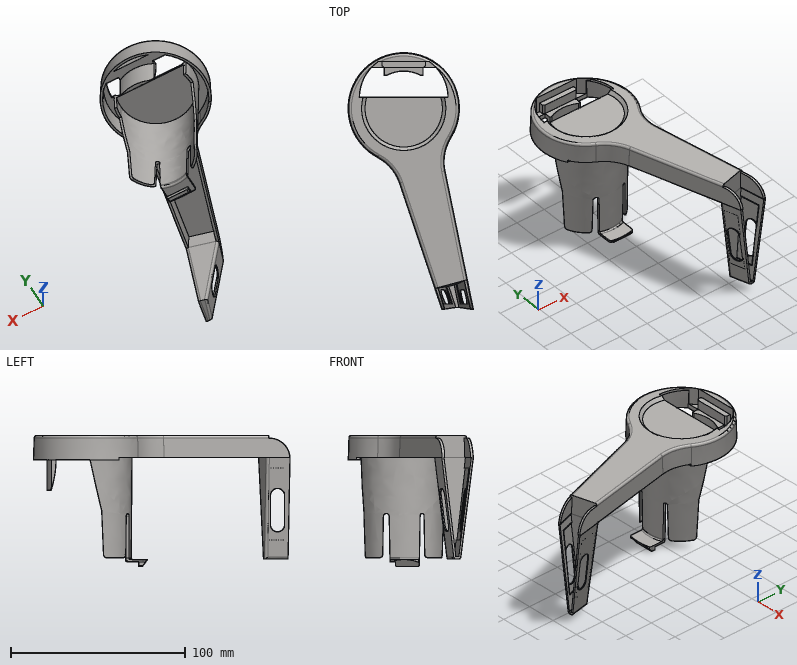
import cadquery as cq
import math


wall = 1.5
top_fillet = 1.5
draft_angle = 2.0
head_radius = 32.0
head_depth = 14.0
handle_depth = 12.8
head_step_y = -17.1

handle_turn = 15.08
handle_half_taper = 3.5
apex_distance = 263.0
blend_radius = 26.0
handle_overrun = 123.0

end_wall_rear = 103.0
end_wall_front = 104.5
end_wall_lean = 1.0
leg_bottom = -71.1
leg_convergence = 7.0
leg_edge_fillet = 1.5
leg_wall = 1.2
plate_end_y = -115.42
plate_lean = 1.2
plate_corner_radius = 12.0
plate_pocket_depth = 0.5
plate_pocket_top = -18.7
plate_pocket_bottom = -60.0
plate_pocket_front_y = -112.2
plate_top = -top_fillet
slot_width = 8.0
slot_top = -30.5
slot_bottom = -55.3
slot_centre_y = -108.2

recess_radius = 24.2
recess_floor_radius = 22.2
recess_depth = 2.1
floor_edge_y = 6.4
opening_radius = 25.4
opening_centre_y = 6.1
opening_back_y = 26.8

ledge_front_y = 23.3
ledge_top = -11.0
rib_half_width = 12.4
rib_front_y = 23.4
rib_chamfer = 1.0
rib_top = -4.8
tongue_half_width = 11.2
tongue_back_y = 24.2
tongue_corner_radius = 3.0
tongue_tip_y = 21.8
tongue_front_y = 18.9
tongue_inner_radius = 21.3
tongue_bottom = -31.6

tube_radius_top = 24.8
tube_radius_bottom = 23.3
tube_lean = -1.0
tube_bottom = -70.3
tube_back_top_y = -0.5
tube_back_mid = (-4.4, -31.4)
tube_back_low = (-7.2, -43.3)
tube_back_bottom_y = -8.3
tube_corner_radius = 2.0
tube_slot_top = -44.9
tube_slots = ((-12.1, -7.9), (9.0, 12.1))
tube_slot_narrowing = 0.5

foot_top = -71.3
foot_thickness = 1.35
foot_tip_y = -33.5
foot_corner_radius = 2.5
foot_bend_inner = 0.8
foot_bend_outer = 1.2
hook_x = (-4.8, 9.0)
hook_back_y = -28.5
hook_tip_y = -30.6
hook_bottom = -75.38
hook_chamfer = 0.7

margin = 5.0
big = 200.0


def box(x_range, y_range, z_range):
    """Axis-aligned box between the given limits."""
    sizes = [max(r) - min(r) for r in (x_range, y_range, z_range)]
    corner = (min(x_range), min(y_range), min(z_range))
    return cq.Workplane("XY").box(*sizes, centered=False).translate(corner)


def side_prism(profile, x_range):
    """Extrude a closed YZ profile across the given X range."""
    return profile.extrude(max(x_range) - min(x_range)).translate((min(x_range), 0, 0))


def turned(shape):
    """Turn a shape from -Y to the handle direction."""
    return shape.rotate((0, 0, 0), (0, 0, 1), handle_turn)


def handle_half_width(distance, inset):
    """Half the handle width at a distance from the head centre, offset inward by inset."""
    half_taper = math.radians(handle_half_taper)
    return (apex_distance - distance) * math.tan(half_taper) - inset / math.cos(half_taper)


def body_outline(inset, z):
    """Head circle blended into the tapering handle, offset inward by inset."""
    taper = math.radians(handle_half_taper)
    radius = head_radius - inset
    blend = blend_radius + inset
    reach = radius + blend
    side_distance = apex_distance * math.sin(taper) - inset + blend
    centre_angle = taper + math.acos(side_distance / reach)
    centre_x = reach * math.cos(centre_angle)
    centre_y = -reach * math.sin(centre_angle)
    head_x = radius * math.cos(centre_angle)
    head_y = -radius * math.sin(centre_angle)
    side_x = centre_x - blend * math.cos(taper)
    side_y = centre_y + blend * math.sin(taper)
    middle_angle = (centre_angle + taper) / 2
    middle_x = centre_x - blend * math.cos(middle_angle)
    middle_y = centre_y + blend * math.sin(middle_angle)
    end_x = handle_half_width(handle_overrun, inset)
    return (
        cq.Workplane("XY", origin=(0, 0, z))
        .moveTo(end_x, -handle_overrun)
        .lineTo(side_x, side_y)
        .threePointArc((middle_x, middle_y), (head_x, head_y))
        .threePointArc((0, radius), (-head_x, head_y))
        .threePointArc((-middle_x, middle_y), (-side_x, side_y))
        .lineTo(-end_x, -handle_overrun)
        .close()
    )


def drafted_body(inset, top_z):
    """Head and handle with drafted sides, from the underside up to top_z."""
    return body_outline(inset, -head_depth).extrude(head_depth + top_z, taper=draft_angle)


def leg_body(inset, rear, top_z, bottom_z):
    """Solid wedge that follows the converging plates from top_z down to bottom_z."""
    def section(z):
        drop = (-handle_depth - z) / (-handle_depth - leg_bottom)
        start = rear + end_wall_lean * drop
        inward = leg_convergence * drop
        near = handle_half_width(start, inset) - inward
        far = handle_half_width(handle_overrun, inset) - inward
        return [
            (near, -start),
            (far, -handle_overrun),
            (-far, -handle_overrun),
            (-near, -start),
        ]

    return (
        cq.Workplane("XY", origin=(0, 0, top_z))
        .polyline(section(top_z))
        .close()
        .workplane(offset=bottom_z - top_z)
        .polyline(section(bottom_z))
        .close()
        .loft(ruled=True)
    )


def make_shell():
    """Hollow head and handle, with the leg at the handle end."""
    outer = drafted_body(0, 0).faces(">Z").edges().fillet(top_fillet)
    cavity = drafted_body(wall, -wall).cut(
        box((-big, big), (-big, -end_wall_rear), (-big, big))
    )
    channel = drafted_body(wall, 0).intersect(
        box((-big, big), (-big, -end_wall_front), (-big, big))
    )
    plate_trim = box((-big, big), (-big, -end_wall_front), (plate_top, margin))

    leg = leg_body(0, end_wall_rear, -handle_depth, leg_bottom)
    leg = leg.faces("<Z or >Y").edges("not |X").fillet(leg_edge_fillet)
    leg_channel = leg_body(leg_wall, end_wall_front, -handle_depth, leg_bottom + wall)

    pocket = leg_body(leg_wall - plate_pocket_depth, end_wall_front, -handle_depth, plate_pocket_bottom)
    pocket = turned(pocket).intersect(
        box((-big, big), (plate_pocket_front_y, 0), (plate_pocket_bottom, plate_pocket_top))
    )

    shell = outer.cut(cavity).cut(channel).cut(plate_trim)
    shell = turned(shell).cut(box((-big, big), (-big, head_step_y), (-big, -handle_depth)))
    return shell.union(turned(leg.cut(leg_channel))).cut(pocket)


def plate_end_trim():
    """Everything beyond the rounded, slightly leaning front edge of the plates."""
    arc_y = plate_end_y + plate_corner_radius
    arc_z = plate_top - plate_corner_radius
    diagonal = plate_corner_radius * math.sqrt(0.5)
    profile = (
        cq.Workplane("YZ")
        .moveTo(arc_y, margin)
        .lineTo(arc_y, plate_top)
        .threePointArc((arc_y - diagonal, arc_z + diagonal), (plate_end_y, arc_z))
        .lineTo(plate_end_y + plate_lean, leg_bottom - margin)
        .lineTo(-big, leg_bottom - margin)
        .lineTo(-big, margin)
        .close()
    )
    return side_prism(profile, (0, big))


def plate_slots():
    """One straight slot through both plates along X."""
    length = slot_top - slot_bottom
    profile = (
        cq.Workplane("YZ")
        .center(slot_centre_y, (slot_top + slot_bottom) / 2)
        .slot2D(length, slot_width, 90)
    )
    return side_prism(profile, (0, big))


def make_tube():
    """Tapering half tube closed by the dial floor, with two slots in front."""
    def cone(inset, top_z):
        return (
            cq.Workplane("XY")
            .circle(tube_radius_top - inset)
            .workplane(offset=tube_bottom)
            .center(0, tube_lean)
            .circle(tube_radius_bottom - inset)
            .loft()
            .intersect(box((-big, big), (-big, floor_edge_y), (-big, top_z)))
        )

    keep = (
        cq.Workplane("YZ")
        .moveTo(floor_edge_y, 0)
        .lineTo(floor_edge_y, -head_depth)
        .lineTo(tube_back_top_y, -head_depth)
        .threePointArc(tube_back_mid, tube_back_low)
        .lineTo(tube_back_bottom_y, tube_bottom)
        .lineTo(-head_radius, tube_bottom)
        .lineTo(-head_radius, 0)
        .close()
    )
    tube = cone(0, -wall).cut(cone(wall, -recess_depth - wall))
    tube = tube.intersect(side_prism(keep, (-head_radius, head_radius)))
    for left, right in tube_slots:
        tube = tube.cut(tube_slot(left, right))
    for x_range in ((-big, tube_slots[0][0] + margin / 2), (tube_slots[1][1] - margin / 2, big)):
        side_leg = cq.selectors.BoxSelector(
            (x_range[0], -big, tube_bottom - margin), (x_range[1], big, tube_bottom + margin)
        )
        tube = tube.faces("<Z").edges("%LINE").edges(side_leg).fillet(tube_corner_radius)
    return tube


def tube_slot(left, right):
    """Slot with a round top that widens slightly downward, cut through the front of the tube."""
    top_left = left + tube_slot_narrowing
    top_right = right - tube_slot_narrowing
    round_z = tube_slot_top - (top_right - top_left) / 2
    return (
        cq.Workplane("XZ")
        .moveTo(left, tube_bottom - margin)
        .lineTo(top_left, round_z)
        .threePointArc(((top_left + top_right) / 2, tube_slot_top), (top_right, round_z))
        .lineTo(right, tube_bottom - margin)
        .close()
        .extrude(head_radius)
    )


def make_foot():
    """Foot bent outward below the centre tab, with a snap hook underneath."""
    left = tube_slots[0][1]
    right = tube_slots[1][0]
    foot_bottom = foot_top - foot_thickness
    inner_radius = tube_radius_bottom - wall

    plan = box((left, right), (foot_tip_y, 0), (hook_bottom, foot_top))
    plan = plan.edges("|Z and <Y").fillet(foot_corner_radius)
    plan = plan.intersect(
        cq.Workplane("XY", origin=(0, 0, hook_bottom)).circle(-foot_tip_y).extrude(big)
    )
    profile = (
        cq.Workplane("YZ")
        .moveTo(0, foot_top)
        .lineTo(foot_tip_y, foot_top)
        .lineTo(hook_tip_y, hook_bottom)
        .lineTo(hook_back_y, hook_bottom)
        .lineTo(hook_back_y, foot_bottom)
        .lineTo(0, foot_bottom)
        .close()
    )
    hook_width = box(hook_x, (-big, 0), (hook_bottom, foot_bottom))
    hook_width = hook_width.edges("|Y and <Z").chamfer(hook_chamfer)
    width_limit = hook_width.union(box((left, right), (-big, 0), (foot_bottom, foot_top)))
    foot = side_prism(profile, (left, right)).intersect(plan).intersect(width_limit)
    foot = foot.cut(cq.Workplane("XY", origin=(0, tube_lean, -big)).circle(inner_radius).extrude(big))

    tab_end = (
        cq.Workplane("XY", origin=(0, tube_lean, foot_bottom))
        .circle(tube_radius_bottom)
        .circle(inner_radius)
        .extrude(tube_bottom - foot_bottom)
        .intersect(box((left, right), (-big, 0), (foot_bottom, tube_bottom)))
    )
    foot = foot.union(tab_end)
    bend_x = (left + right) / 2
    inner_bend = (bend_x, tube_lean - tube_radius_bottom, foot_top)
    outer_bend = (bend_x, tube_lean - inner_radius, foot_bottom)
    foot = foot.edges(cq.selectors.NearestToPointSelector(inner_bend)).fillet(foot_bend_inner)
    return foot.edges(cq.selectors.NearestToPointSelector(outer_bend)).fillet(foot_bend_outer)


def dial_recess():
    """Shallow conical recess around the dial floor."""
    return (
        cq.Workplane("XY")
        .circle(recess_radius)
        .workplane(offset=-recess_depth)
        .circle(recess_floor_radius)
        .loft()
    )


def head_opening():
    """Round opening behind the dial floor, flat at the front and at the back."""
    return (
        cq.Workplane("XY", origin=(0, opening_centre_y, -head_depth))
        .circle(opening_radius)
        .extrude(head_depth)
        .intersect(box((-big, big), (floor_edge_y, opening_back_y), (-big, big)))
    )


def make_clip():
    """Collar, ledge and rib behind the opening, with the curved tongue hanging below them."""
    envelope = drafted_body(wall / 2, -wall / 2)
    collar = (
        cq.Workplane("XY", origin=(0, opening_centre_y, -head_depth))
        .circle(opening_radius + wall)
        .extrude(head_depth)
        .intersect(box((-big, big), (ledge_front_y, opening_back_y + wall), (-big, big)))
        .cut(head_opening())
    )
    ledge = box((-big, big), (ledge_front_y, opening_back_y + wall), (-head_depth, ledge_top))
    mount = collar.union(ledge).intersect(envelope)
    rib = box((-rib_half_width, rib_half_width), (rib_front_y, opening_back_y), (-head_depth, rib_top))
    rib = rib.edges("|Z and <Y").chamfer(rib_chamfer)
    return mount.union(rib).union(make_tongue())


def make_tongue():
    """Tongue concentric with the head, thinning toward its rounded tip."""
    bulge_y = tongue_front_y + (tongue_tip_y - tongue_front_y) / 4
    bulge_z = (tongue_bottom - head_depth) / 2
    profile = (
        cq.Workplane("YZ")
        .moveTo(tongue_back_y, ledge_top)
        .lineTo(tongue_front_y, ledge_top)
        .lineTo(tongue_front_y, -head_depth)
        .threePointArc((bulge_y, bulge_z), (tongue_tip_y, tongue_bottom))
        .lineTo(tongue_back_y, tongue_bottom)
        .close()
    )
    x_range = (-tongue_half_width, tongue_half_width)
    rounded_tip = box(x_range, (0, tongue_back_y), (tongue_bottom, ledge_top))
    rounded_tip = rounded_tip.edges("|Y and <Z").fillet(tongue_corner_radius)
    ring = (
        cq.Workplane("XY", origin=(0, 0, tongue_bottom))
        .circle(tongue_back_y)
        .circle(tongue_inner_radius)
        .extrude(ledge_top - tongue_bottom)
    )
    blade = side_prism(profile, x_range).intersect(rounded_tip).intersect(ring)
    inner_cylinder = cq.Workplane("XY", origin=(0, 0, -big)).circle(tongue_inner_radius).extrude(big)
    root = box(x_range, (tongue_front_y, tongue_back_y), (-head_depth, ledge_top))
    return blade.union(root.cut(inner_cylinder))


result = make_shell().union(make_tube())
result = result.cut(dial_recess()).cut(head_opening())
result = result.union(make_clip()).union(make_foot())
result = result.cut(plate_end_trim()).cut(plate_slots())